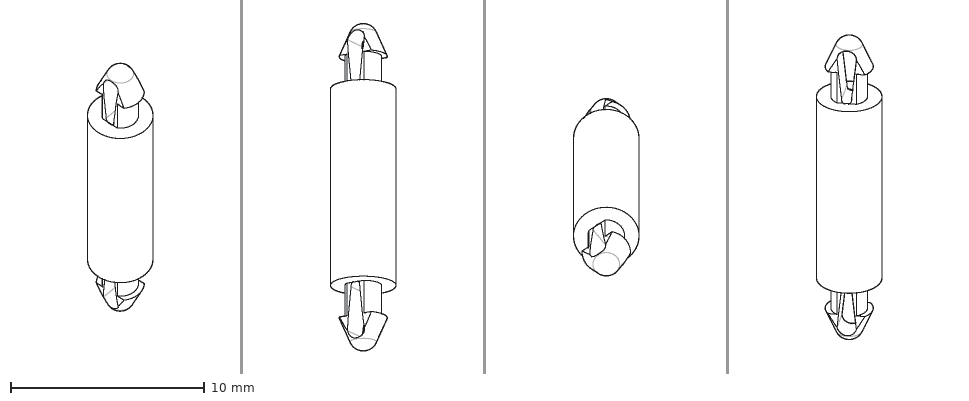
import cadquery as cq
import math

body_diameter = 3.4
overall_length = 17.6
snap_length = 3.5
body_length = overall_length - 2 * snap_length

shank_radius = 0.95
flat_width = 1.6
head_length = 1.75
head_flat_draft = 3.5
barb_radius = 1.25
nose_radius = 0.75

slot_wide_radius = 0.51
slot_wide_depth = 1.01
slot_narrow_radius = 0.26
slot_narrow_depth = 3.3

body_top = body_length / 2
tip_level = body_top + snap_length
barb_level = tip_level - head_length


def make_head():
    """Revolved barb: a cone running tangentially into a spherical nose."""
    nose_centre = tip_level - nose_radius
    centre_height = nose_centre - barb_level
    barb_distance = math.hypot(barb_radius, centre_height)
    touch_angle = math.acos(nose_radius / barb_distance) - math.atan2(centre_height, barb_radius)
    arc_middle_angle = (touch_angle + math.pi / 2) / 2

    def on_nose(angle):
        return (nose_radius * math.cos(angle), nose_centre + nose_radius * math.sin(angle))

    profile = (
        cq.Workplane("XZ")
        .moveTo(0, barb_level)
        .lineTo(barb_radius, barb_level)
        .lineTo(*on_nose(touch_angle))
        .threePointArc(on_nose(arc_middle_angle), (0, tip_level))
        .close()
    )
    return profile.revolve(360, (0, 0, 0), (0, 1, 0))


def make_slot():
    """Two arcs joined by their common tangent lines, cut right through along Y."""
    wide_centre = tip_level - slot_wide_depth
    narrow_centre = tip_level - slot_narrow_depth
    tangent_angle = math.asin((slot_wide_radius - slot_narrow_radius) / (wide_centre - narrow_centre))

    def tangent_point(radius, centre, side):
        return (side * radius * math.cos(tangent_angle), centre + radius * math.sin(tangent_angle))

    return (
        cq.Workplane("XZ")
        .moveTo(*tangent_point(slot_wide_radius, wide_centre, 1))
        .threePointArc(
            (0, wide_centre + slot_wide_radius),
            tangent_point(slot_wide_radius, wide_centre, -1),
        )
        .lineTo(*tangent_point(slot_narrow_radius, narrow_centre, -1))
        .threePointArc(
            (0, narrow_centre - slot_narrow_radius),
            tangent_point(slot_narrow_radius, narrow_centre, 1),
        )
        .close()
        .extrude(flat_width / 2, both=True)
    )


def make_flats():
    """Block between the flats: parallel along the shank, drafted inwards along the head."""
    half_width = flat_width / 2
    tip_half_width = half_width - head_length * math.tan(math.radians(head_flat_draft))
    return (
        cq.Workplane("YZ")
        .moveTo(-half_width, 0)
        .lineTo(half_width, 0)
        .lineTo(half_width, barb_level)
        .lineTo(tip_half_width, tip_level)
        .lineTo(-tip_half_width, tip_level)
        .lineTo(-half_width, barb_level)
        .close()
        .extrude(barb_radius, both=True)
    )


body = cq.Workplane("XY").workplane(offset=-body_top).circle(body_diameter / 2).extrude(body_length)
shank = cq.Workplane("XY").circle(shank_radius).extrude(barb_level)
snap = shank.union(make_head()).intersect(make_flats())
slot = make_slot()
result = body.union(snap).union(snap.mirror("XY")).cut(slot).cut(slot.mirror("XY"))